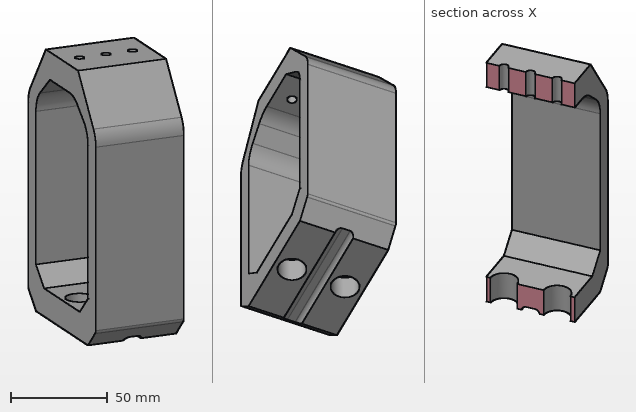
import cadquery as cq
import math

width = 85.12
depth = 50.0
height = 145.3
half_width = width / 2

roof_half_width = 20.25
shoulder_height = 115.3
shoulder_radius = 15.0
outer_chamfer = 9.95
outer_chamfer_radius = 2.5

side_wall = 9.9
roof_wall = 15.0
floor_wall = 15.3
window_half_width = half_width - side_wall
window_top = height - roof_wall
window_roof_half_width = 15.0
window_shoulder_height = 115.3
window_shoulder_radius = 15.0
window_roof_radius = 15.0
window_chamfer_width = 10.3
window_chamfer_height = 10.0

hole_spacing = 15.0
roof_hole_diameter = 4.9
floor_hole_diameter = 15.0

groove_width = 10.2
groove_depth = 2.3
groove_corner_radius = 3.0
groove_corner_run = math.sqrt(groove_corner_radius**2 - (groove_corner_radius - groove_depth) ** 2)
groove_flat = groove_width - 2 * groove_corner_run

CUT_MARGIN = 1.0


def tapered_prism(half_side, bottom, top, shoulder, roof_half, chamfer_width, chamfer_height, length):
    """Eight-sided prism centred on Y with a chamfered base and sloping shoulders."""
    right_side = [
        (half_side - chamfer_width, bottom),
        (half_side, bottom + chamfer_height),
        (half_side, shoulder),
        (roof_half, top),
    ]
    left_side = [(-x, z) for x, z in reversed(right_side)]
    profile = cq.Workplane("XZ").polyline(right_side + left_side).close()
    return profile.extrude(length / 2, both=True)


def round_edge(body, x, z, radius):
    """Fillet the edge parallel to Y that passes nearest to (x, z)."""
    edge = cq.selectors.NearestToPointSelector((x, 0, z))
    return body.edges("|Y").edges(edge).fillet(radius)


def outer_body():
    body = tapered_prism(
        half_width,
        0,
        height,
        shoulder_height,
        roof_half_width,
        outer_chamfer,
        outer_chamfer,
        depth,
    )
    for side in (-1, 1):
        body = round_edge(body, side * half_width, shoulder_height, shoulder_radius)
        body = round_edge(body, side * half_width, outer_chamfer, outer_chamfer_radius)
    return body


def window():
    """Opening through Y; only its +X roof corner is rounded."""
    body = tapered_prism(
        window_half_width,
        floor_wall,
        window_top,
        window_shoulder_height,
        window_roof_half_width,
        window_chamfer_width,
        window_chamfer_height,
        depth + 2 * CUT_MARGIN,
    )
    for side in (-1, 1):
        body = round_edge(
            body, side * window_half_width, window_shoulder_height, window_shoulder_radius
        )
    return round_edge(body, window_roof_half_width, window_top, window_roof_radius)


def hole_row(y_positions, diameter, start_z, length):
    """Vertical cylinders on the X centre plane."""
    points = [(0, y) for y in y_positions]
    row = cq.Workplane("XY").workplane(offset=start_z).pushPoints(points)
    return row.circle(diameter / 2).extrude(length)


def bottom_groove():
    """Shallow channel with rounded corners, running the full width along X."""
    profile = (
        cq.Workplane("YZ")
        .moveTo(-groove_width / 2, 0)
        .radiusArc((-groove_flat / 2, groove_depth), groove_corner_radius)
        .lineTo(groove_flat / 2, groove_depth)
        .radiusArc((groove_width / 2, 0), groove_corner_radius)
        .close()
    )
    return profile.extrude(half_width, both=True)


roof_holes = hole_row(
    (-hole_spacing, 0, hole_spacing),
    roof_hole_diameter,
    window_top - CUT_MARGIN,
    roof_wall + 2 * CUT_MARGIN,
)
floor_holes = hole_row(
    (-hole_spacing, hole_spacing),
    floor_hole_diameter,
    -CUT_MARGIN,
    floor_wall + 2 * CUT_MARGIN,
)

result = outer_body().cut(window()).cut(roof_holes).cut(floor_holes).cut(bottom_groove())